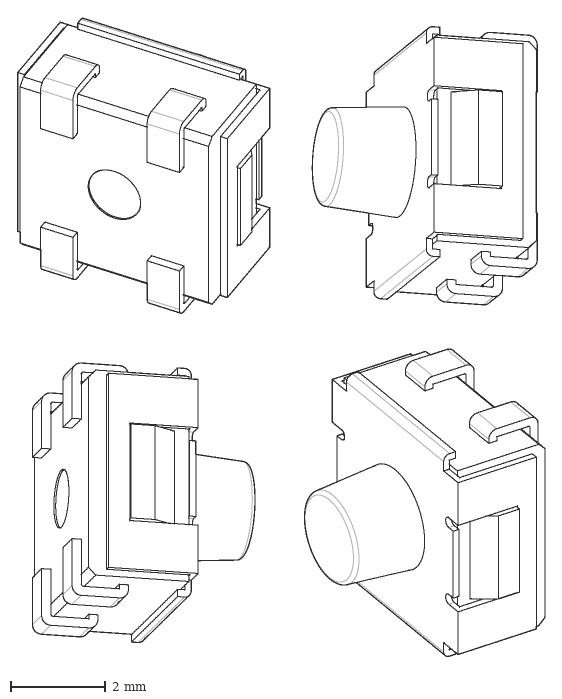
import cadquery as cq


terminal_thickness = 0.20
terminal_width = 0.77
terminal_pitch = 2.54
terminal_reach = 2.55
terminal_top_y = 1.235
terminal_foot_end_z = 1.32
terminal_bend_radius = 0.20
terminal_inner_radius = 0.05

sheet = 0.16
cover_plate_thickness = 0.14
cover_top_y = 2.54
cover_half_x = 2.50
cover_half_z = 2.13
cover_wall_bottom_y = 0.575
lip_half_x = 1.93
lip_reach_z = 2.51
lip_height = 0.30
lip_bottom_y = cover_top_y - lip_height
lip_bend_radius = 0.15

window_half_z = 1.07
window_bottom_y = 1.045
tongue_half_x = 2.31
relief_width = 0.24
relief_depth = 0.30

housing_half = 2.25
housing_bottom_y = terminal_thickness
housing_top_y = cover_top_y - cover_plate_thickness
housing_chamfer = 0.16
recess_radius = 0.625
recess_depth = 0.04

latch_half_z = 1.03
latch_reach_x = 2.57
latch_top_y = 2.085
latch_ramp_end_y = 1.575
latch_bottom_y = window_bottom_y

plunger_top_y = 4.19
plunger_base_radius = 1.175
plunger_tip_radius = 1.045
plunger_edge_radius = 0.09


def box_between(x_range, y_range, z_range):
    """Axis-aligned box from its limits along X, Y and Z."""
    sizes = [high - low for low, high in (x_range, y_range, z_range)]
    corner = (x_range[0], y_range[0], z_range[0])
    return cq.Workplane("XY").box(*sizes, centered=False).translate(corner)


def plunger_cone():
    """Tapered plunger, carried down through the cover to the housing top."""
    taper = (plunger_base_radius - plunger_tip_radius) / (plunger_top_y - cover_top_y)
    root_radius = plunger_base_radius + taper * cover_plate_thickness
    cone = (
        cq.Workplane("YZ")
        .moveTo(housing_top_y, 0)
        .lineTo(housing_top_y, root_radius)
        .lineTo(plunger_top_y, plunger_tip_radius)
        .lineTo(plunger_top_y, 0)
        .close()
        .revolve(360, (0, 0, 0), (1, 0, 0))
    )
    return cone.faces(">Y").edges().fillet(plunger_edge_radius)


def latch(side):
    """Ramped latch on the side face at -X (side = -1) or +X (side = 1)."""
    return (
        cq.Workplane("XY")
        .polyline([
            (side * housing_half, latch_bottom_y),
            (side * latch_reach_x, latch_bottom_y),
            (side * latch_reach_x, latch_ramp_end_y),
            (side * housing_half, latch_top_y),
        ])
        .close()
        .extrude(latch_half_z, both=True)
    )


def make_housing():
    """Moulded block with latches, a shallow round recess below and the plunger on top."""
    side_range = (-housing_half, housing_half)
    body = box_between(side_range, (housing_bottom_y, housing_top_y), side_range)
    body = body.faces("<Y").edges("|X").chamfer(housing_chamfer)
    recess = (
        cq.Workplane("XZ", origin=(0, housing_bottom_y, 0))
        .circle(recess_radius)
        .extrude(-recess_depth)
    )
    body = body.cut(recess)
    for side in (-1, 1):
        body = body.union(latch(side))
    return body.union(plunger_cone())


def cover_lip(side):
    """Downturned lip along the edge at -Z (side = -1) or +Z (side = 1)."""
    lip = (
        cq.Workplane("YZ")
        .polyline([
            (cover_top_y, 0),
            (cover_top_y, side * lip_reach_z),
            (lip_bottom_y, side * lip_reach_z),
            (lip_bottom_y, side * (lip_reach_z - sheet)),
            (housing_top_y, side * (lip_reach_z - sheet)),
            (housing_top_y, 0),
        ])
        .close()
        .extrude(lip_half_x, both=True)
    )
    outer_edge = cq.selectors.NearestToPointSelector((0, cover_top_y, side * lip_reach_z))
    return lip.edges("|X").edges(outer_edge).fillet(lip_bend_radius)


def cover_window(side):
    """Opening for one latch, with a round-ended relief notch at each end."""
    x_range = sorted((side * tongue_half_x, side * cover_half_x))
    z_range = (-window_half_z, window_half_z)
    window = box_between(x_range, (window_bottom_y, cover_top_y), z_range)

    relief_radius = relief_width / 2
    relief_z = window_half_z - relief_radius
    relief_center_x = tongue_half_x - relief_depth + relief_radius
    for end in (-1, 1):
        slot_x = sorted((side * relief_center_x, side * cover_half_x))
        slot_z = (end * relief_z - relief_radius, end * relief_z + relief_radius)
        slot = box_between(slot_x, (housing_top_y, cover_top_y), slot_z)
        round_end = (
            cq.Workplane("XZ", origin=(0, housing_top_y, 0))
            .center(side * relief_center_x, end * relief_z)
            .circle(relief_radius)
            .extrude(-cover_plate_thickness)
        )
        window = window.union(slot).union(round_end)
    return window


def make_cover():
    """Sheet-metal cover: top plate, two side walls, two lips, plunger hole."""
    x_range = (-cover_half_x, cover_half_x)
    z_range = (-cover_half_z, cover_half_z)
    cover = box_between(x_range, (housing_top_y, cover_top_y), z_range)
    for side in (-1, 1):
        wall_x = sorted((side * (cover_half_x - sheet), side * cover_half_x))
        wall = box_between(wall_x, (cover_wall_bottom_y, cover_top_y), z_range)
        cover = cover.union(wall).union(cover_lip(side))
    for side in (-1, 1):
        cover = cover.cut(cover_window(side))
    return cover.cut(plunger_cone())


def make_terminal(x_center, side):
    """Bent terminal: root against the side of the housing, foot under its bottom."""
    inner_z = terminal_reach - terminal_thickness
    root_bottom_y = terminal_top_y - terminal_thickness
    terminal = (
        cq.Workplane("YZ", origin=(x_center, 0, 0))
        .polyline([
            (terminal_top_y, side * housing_half),
            (terminal_top_y, side * terminal_reach),
            (0, side * terminal_reach),
            (0, side * terminal_foot_end_z),
            (terminal_thickness, side * terminal_foot_end_z),
            (terminal_thickness, side * inner_z),
            (root_bottom_y, side * inner_z),
            (root_bottom_y, side * housing_half),
        ])
        .close()
        .extrude(terminal_width / 2, both=True)
    )
    for bend_y in (0, terminal_top_y):
        bend = cq.selectors.NearestToPointSelector((x_center, bend_y, side * terminal_reach))
        terminal = terminal.edges("|X").edges(bend).fillet(terminal_bend_radius)
    inner_bend = cq.selectors.NearestToPointSelector((x_center, terminal_thickness, side * inner_z))
    return terminal.edges("|X").edges(inner_bend).fillet(terminal_inner_radius)


housing = make_housing()
cover = make_cover()
terminals = [
    make_terminal(x_side * terminal_pitch / 2, z_side)
    for x_side in (-1, 1)
    for z_side in (-1, 1)
]

result = cq.Compound.makeCompound([
    housing.val(),
    cover.val(),
    *[terminal.val() for terminal in terminals],
])